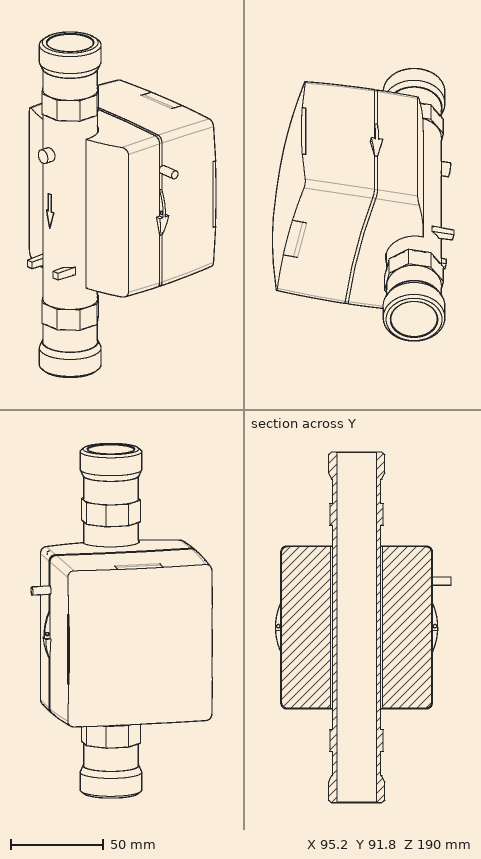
import cadquery as cq
import math

TOTAL_WIDTH = 95.18
TOTAL_DEPTH = 91.82

TUBE_LENGTH = 190.0
TUBE_R = 14.8
BORE_R = 12.5
BORE_CHAMFER = 0.4
COLLAR_R = 16.75
COLLAR_STRAIGHT_END = 11.3
COLLAR_TAPER_END = 14.8
COLLAR_TAPER_R = 15.2
COLLAR_CHAMFER_R = 1.6
COLLAR_CHAMFER_Z = 1.4
OCTAGON_FLATS = 30.0
OCTAGON_HEIGHT = 12.0
OCTAGON_TURN = 180 / 8
OCTAGON_Z = 61.2

STUD_TIP_Y = -19.5
STUD_ROOT_Y = -5.0
PIN_D = 7.8
PIN_Z = 33.4
PEG_SIZE = 4.6
PEG_X = 10.6
PEG_Z = -32.7
PEG_TAPER = 0.7

ARROW_TOP_Z = 10.2
ARROW_NECK_Z = 0.0
ARROW_TIP_Z = -9.9
ARROW_SHAFT_HALF = 1.2
ARROW_HEAD_HALF = 3.0
ARROW_DEPTH = 0.3

HALF_WIDTH = 41.1
HALF_HEIGHT = 44.2
WIDEST_Y = 29.4
SIDE_R = 750.0
CORNER_R = 3.5
BACK_Y = TOTAL_DEPTH + STUD_TIP_Y
DOME_R = 385.0
FRONT_Y = -3.3
FRONT_R = 92.0
SADDLE_CLEARANCE = 0.6
BLANK_MARGIN = 5.0

SEAM_Y = 32.0
SEAM_R = 450.0
SEAM_WIDTH = 1.75
SEAM_DEPTH = 0.15
SEAM_SIDE_Y = SEAM_Y - SEAM_R + math.sqrt(SEAM_R**2 - HALF_WIDTH**2)
SEAM_MID_SIDE_Y = SEAM_SIDE_Y - SEAM_WIDTH / 2

TOP_RECESS_HALF = 12.6
TOP_RECESS_Y = 61.8
TOP_RECESS_RAMP = 2.2
SIDE_RECESS_HALF = 19.2
SIDE_RECESS_Y = 67.7
RECESS_DEPTH = 0.3
SIDE_RECESS_RAMP = RECESS_DEPTH

LUG_X = 44.0
LUG_ROOT_X = 39.0
LUG_R = 32.0
LUG_WIDTH = 1.6
LUG_HEAD_TOP_Z = -1.6
LUG_HEAD_BOTTOM_Z = -13.0
LUG_HEAD_HALF = 3.2
LUG_HOLE_D = 1.8
LUG_HOLE_X = 42.4
LUG_HOLE_Z = 0.7
CABLE_D = 4.6
CABLE_Y = 30.5
CABLE_Z = 25.1
CABLE_END_X = TOTAL_WIDTH - LUG_X


def revolve_both_ways(upper_profile):
    """Solid of revolution about Z from (radius, z) points above mid-length, mirrored below it."""
    upper = [(-radius, z) for radius, z in upper_profile]
    lower = [(x, -z) for x, z in reversed(upper)]
    return cq.Workplane("XZ").polyline(upper + lower).close().revolve(360, (0, 0), (0, 1))


def make_tube_blank():
    """Solid tube with a collar at each end."""
    end = TUBE_LENGTH / 2
    return revolve_both_ways([
        (TUBE_R, end - COLLAR_TAPER_END),
        (COLLAR_TAPER_R, end - COLLAR_TAPER_END),
        (COLLAR_R, end - COLLAR_STRAIGHT_END),
        (COLLAR_R, end - COLLAR_CHAMFER_Z),
        (COLLAR_R - COLLAR_CHAMFER_R, end),
        (0, end),
    ])


def make_bore():
    """Through bore, chamfered at both ends."""
    end = TUBE_LENGTH / 2
    return revolve_both_ways([
        (BORE_R, end - BORE_CHAMFER),
        (BORE_R + BORE_CHAMFER, end),
        (0, end),
    ])


def make_studs():
    """Round pin and two square pegs pointing to -Y."""
    length = STUD_ROOT_Y - STUD_TIP_Y
    front = cq.Workplane("XZ", origin=(0, STUD_ROOT_Y, 0))
    studs = front.center(0, PIN_Z).circle(PIN_D / 2).extrude(length)
    half = PEG_SIZE / 2
    tapered = [
        (-half, STUD_ROOT_Y),
        (-half, STUD_TIP_Y),
        (half - PEG_TAPER, STUD_TIP_Y),
        (half, STUD_ROOT_Y),
    ]
    from_above = cq.Workplane("XY").polyline(tapered).close().extrude(half, both=True)
    turned = [(y, offset) for offset, y in tapered]
    from_side = cq.Workplane("YZ").polyline(turned).close().extrude(half, both=True)
    peg = from_above.intersect(from_side)
    for x in (-PEG_X, PEG_X):
        studs = studs.union(peg.translate((x, 0, PEG_Z)))
    return studs


def make_engraved_arrow():
    """Shallow downward arrow in the front skin of the tube."""
    outline = [
        (-ARROW_SHAFT_HALF, ARROW_TOP_Z),
        (ARROW_SHAFT_HALF, ARROW_TOP_Z),
        (ARROW_SHAFT_HALF, ARROW_NECK_Z),
        (ARROW_HEAD_HALF, ARROW_NECK_Z),
        (0, ARROW_TIP_Z),
        (-ARROW_HEAD_HALF, ARROW_NECK_Z),
        (-ARROW_SHAFT_HALF, ARROW_NECK_Z),
    ]
    arrow = cq.Workplane("XZ").polyline(outline).close().extrude(COLLAR_R)
    core = cq.Workplane("XY").circle(TUBE_R - ARROW_DEPTH).extrude(TUBE_LENGTH / 2, both=True)
    return arrow.cut(core)


def make_tube():
    tube = make_tube_blank()
    corner_d = OCTAGON_FLATS / math.cos(math.radians(OCTAGON_TURN))
    for z in (-OCTAGON_Z, OCTAGON_Z):
        octagon = (
            cq.Workplane("XY", origin=(0, 0, z - OCTAGON_HEIGHT / 2))
            .transformed(rotate=(0, 0, OCTAGON_TURN))
            .polygon(8, corner_d)
            .extrude(OCTAGON_HEIGHT)
        )
        tube = tube.union(octagon)
    tube = tube.union(make_studs()).cut(make_engraved_arrow())
    return tube.cut(make_bore())


def bulge(half_size, y):
    """Half size at y of a pair of faces that bulge to half_size at WIDEST_Y."""
    return half_size - SIDE_R + math.sqrt(SIDE_R**2 - (y - WIDEST_Y) ** 2)


def barrel(plane, half_size, reach):
    """Slab whose two long sides bulge in arcs along Y; the given plane holds Y as one axis."""
    y0 = FRONT_Y - BLANK_MARGIN
    y1 = BACK_Y + BLANK_MARGIN

    def point(y, sign):
        across = sign * bulge(half_size, y)
        return (across, y) if plane == "XY" else (y, across)

    return (
        cq.Workplane(plane)
        .moveTo(*point(y0, 1))
        .threePointArc(point(WIDEST_Y, 1), point(y1, 1))
        .lineTo(*point(y1, -1))
        .threePointArc(point(WIDEST_Y, -1), point(y0, -1))
        .close()
        .extrude(reach, both=True)
    )


def make_block(inset):
    """Whole housing block with its four long faces moved inward by the inset."""
    block = barrel("XY", HALF_WIDTH - inset, HALF_HEIGHT + BLANK_MARGIN)
    block = block.intersect(barrel("YZ", HALF_HEIGHT - inset, HALF_WIDTH + BLANK_MARGIN))
    block = block.edges("(not >Y) and (not <Y)").fillet(CORNER_R - inset)
    front = cq.Workplane("XY").center(0, FRONT_Y + FRONT_R).circle(FRONT_R).extrude(
        HALF_HEIGHT + BLANK_MARGIN, both=True)
    dome = cq.Workplane("XY").sphere(DOME_R).translate((0, BACK_Y - DOME_R, 0))
    return block.intersect(front).intersect(dome)


def in_front_of_seam(offset):
    """Space on the -Y side of the seam surface, moved forward by the offset."""
    return (
        cq.Workplane("XY")
        .center(0, SEAM_Y - offset - SEAM_R)
        .circle(SEAM_R)
        .extrude(HALF_HEIGHT + BLANK_MARGIN, both=True)
    )


def make_recess(plane, start_y, surface, ramp, half_length):
    """Cutter for a shallow recess that runs from start_y out through the back of a long face."""
    floor = surface - RECESS_DEPTH
    above = surface + BLANK_MARGIN
    past_back = BACK_Y + BLANK_MARGIN
    outline = [
        (start_y, above),
        (start_y, surface),
        (start_y + ramp, floor),
        (past_back, floor - RECESS_DEPTH),
        (past_back, above),
    ]
    if plane == "XY":
        outline = [(height, y) for y, height in outline]
    return cq.Workplane(plane).polyline(outline).close().extrude(half_length, both=True)


def make_cover(block):
    cover = block.cut(in_front_of_seam(0))
    top_z = bulge(HALF_HEIGHT, TOP_RECESS_Y)
    side_x = bulge(HALF_WIDTH, SIDE_RECESS_Y)
    top = make_recess("YZ", TOP_RECESS_Y, top_z, TOP_RECESS_RAMP, TOP_RECESS_HALF)
    side = make_recess("XY", SIDE_RECESS_Y, side_x, SIDE_RECESS_RAMP, SIDE_RECESS_HALF)
    cover = cover.cut(top).cut(top.mirror("XY"))
    return cover.cut(side).cut(side.mirror("YZ"))


def make_lug():
    """Seal lug on the +X side: thin disc segment, arrowhead and wire hole."""
    disc = (
        cq.Workplane("XZ", origin=(0, SEAM_MID_SIDE_Y, 0))
        .center(LUG_X - LUG_R, 0)
        .circle(LUG_R)
        .extrude(LUG_HEAD_HALF, both=True)
    )
    half = LUG_WIDTH / 2
    y = SEAM_MID_SIDE_Y
    outline = [
        (y - half, LUG_R),
        (y + half, LUG_R),
        (y + half, LUG_HEAD_TOP_Z),
        (y + LUG_HEAD_HALF, LUG_HEAD_TOP_Z),
        (y + half, LUG_HEAD_BOTTOM_Z),
        (y - half, LUG_HEAD_BOTTOM_Z),
        (y - LUG_HEAD_HALF, LUG_HEAD_TOP_Z),
        (y - half, LUG_HEAD_TOP_Z),
    ]
    arrow = (
        cq.Workplane("YZ", origin=(LUG_ROOT_X, 0, 0))
        .polyline(outline)
        .close()
        .extrude(LUG_X - LUG_ROOT_X)
    )
    hole = (
        cq.Workplane("XZ", origin=(0, y, 0))
        .center(LUG_HOLE_X, LUG_HOLE_Z)
        .circle(LUG_HOLE_D / 2)
        .extrude(LUG_HEAD_HALF, both=True)
    )
    return disc.intersect(arrow).cut(hole)


def make_base(block, cover):
    base = block.intersect(in_front_of_seam(0))

    strip = in_front_of_seam(0).cut(in_front_of_seam(SEAM_WIDTH))
    groove = strip.cut(make_block(SEAM_DEPTH))
    saddle = cq.Workplane("XY").circle(TUBE_R + SADDLE_CLEARANCE).extrude(TUBE_LENGTH / 2, both=True)
    base = base.cut(groove).cut(saddle)

    lug = make_lug()
    cable = (
        cq.Workplane("YZ", origin=(HALF_WIDTH - BLANK_MARGIN, 0, 0))
        .center(CABLE_Y, CABLE_Z)
        .circle(CABLE_D / 2)
        .extrude(CABLE_END_X - HALF_WIDTH + BLANK_MARGIN)
    )
    base = base.union(lug).union(lug.mirror("YZ")).union(cable)
    return base.cut(cover)


tube = make_tube()
block = make_block(0)
cover = make_cover(block)
base = make_base(block, cover)
result = cq.Compound.makeCompound([
    tube.solids().val(),
    cover.solids().val(),
    base.solids().val(),
])